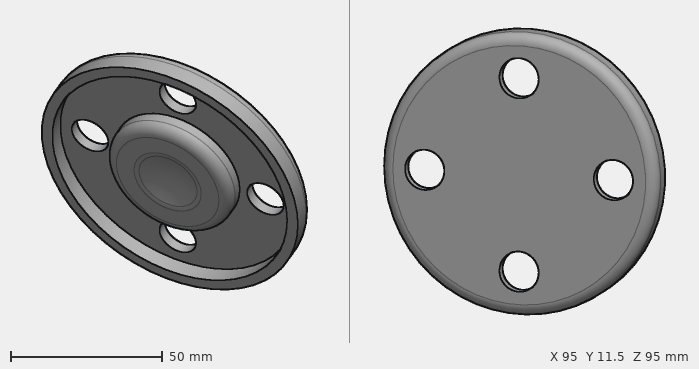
import cadquery as cq
import math

disc_radius = 47.5
rim_height = 9.8
total_height = 11.5
edge_radius = 4.0
recess_radius = 43.5
floor_thickness = 4.0
boss_radius = 23.0
mouth_radius = 12.4
cup_radius = 30.0
lip_radius = 4.75
hole_diameter = 13.5
hole_circle_radius = 32.5
hole_count = 4

back_plane = cq.Workplane("XZ")


def make_dish():
    """Flat disc with a rounded back edge and a raised outer rim."""
    disc = back_plane.circle(disc_radius).extrude(rim_height)
    disc = disc.faces(">Y").edges().fillet(edge_radius)
    recess = (
        back_plane.workplane(offset=floor_thickness)
        .circle(recess_radius)
        .extrude(rim_height - floor_thickness)
    )
    return disc.cut(recess)


def make_boss():
    """Central boss with a rounded front edge."""
    boss = back_plane.circle(boss_radius).extrude(total_height)
    return boss.faces("<Y").edges().fillet(edge_radius)


def make_socket():
    """Spherical cup whose mouth flares out through a tangent rounded lip."""
    lip_center_height = total_height - lip_radius
    center_rise = math.sqrt((cup_radius + lip_radius) ** 2 - mouth_radius**2)
    cup_center_height = lip_center_height + center_rise
    tangent_fraction = cup_radius / (cup_radius + lip_radius)
    tangent_radius = mouth_radius * tangent_fraction
    tangent_height = cup_center_height - center_rise * tangent_fraction
    half_angle = math.asin(mouth_radius / (cup_radius + lip_radius)) / 2
    cup_middle = (
        cup_radius * math.sin(half_angle),
        -(cup_center_height - cup_radius * math.cos(half_angle)),
    )
    lip_middle = (
        mouth_radius - lip_radius * math.sin(half_angle),
        -(lip_center_height + lip_radius * math.cos(half_angle)),
    )
    return (
        cq.Workplane("XY")
        .moveTo(0, -(cup_center_height - cup_radius))
        .threePointArc(cup_middle, (tangent_radius, -tangent_height))
        .threePointArc(lip_middle, (mouth_radius, -total_height))
        .lineTo(0, -total_height)
        .close()
        .revolve(360, (0, 0, 0), (0, 1, 0))
    )


def make_bolt_holes():
    """Through holes evenly spaced on a circle around the boss."""
    return (
        back_plane.polarArray(hole_circle_radius, 0, 360, hole_count)
        .circle(hole_diameter / 2)
        .extrude(floor_thickness)
    )


result = make_dish().union(make_boss()).cut(make_socket()).cut(make_bolt_holes())